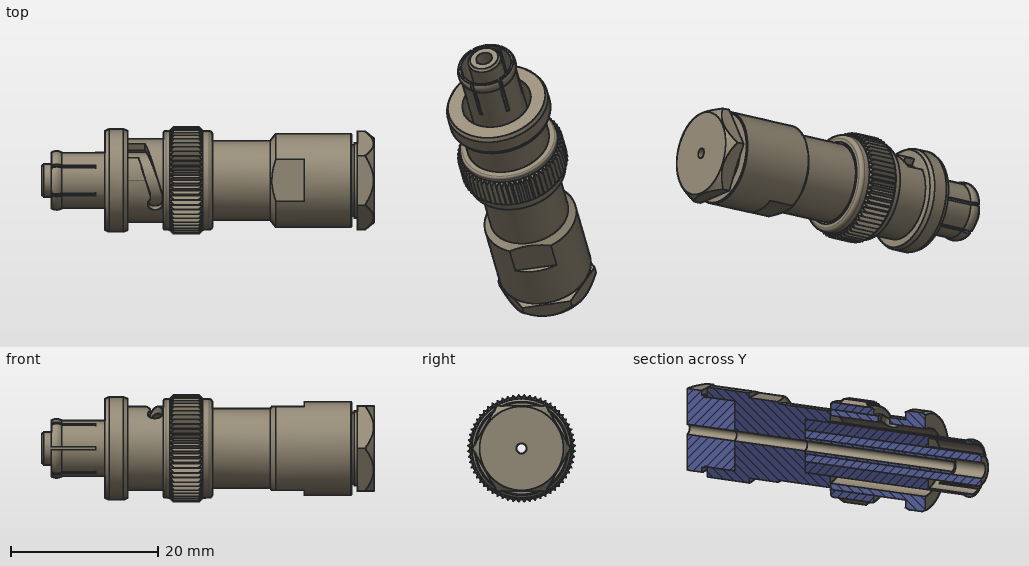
import cadquery as cq
import math


bore_radius = 0.7
contact_radius = 1.1
insulator_radius = 2.25
collet_radius = 3.8
sleeve_bore_radius = 4.75
sleeve_radius = 5.7
overall_length = 45.2
cut_clearance = 0.45

insulator_chamfer = 0.3
contact_front = 4.5
core_end = 27.13

collet_front = 1.3
bead_end = 2.75
bead_radius = 4.02
collet_bore_radius = 3.5
collet_bore_end = 8.15
collet_slot_count = 6
collet_slot_width = 0.4
collet_slot_end = 7.32

flange_front = 8.6
flange_rear = 11.7
flange_radius = 7.0
flange_front_chamfer = 0.6
flange_rear_chamfer = 0.6
flange_chamfer_depth = 0.25
sleeve_rear = 23.25

ramp_width = 1.67
ramp_middle_x = 14.95
ramp_lead = 10.5
entry_end_x = 13.2
entry_start_angle = 32.5
entry_end_angle = 60.5
ramp_end_angle = -22.0
detent_angle = -34.5
link_overlap_angle = 0.5
detent_x = 15.4
detent_radius = 1.0

grip_front = 16.55
grip_radius = 6.75
grip_front_round = 0.3
grip_rear_round = 0.55
knurl_front = 17.4
knurl_rear = 21.9
knurl_root_radius = 6.7
knurl_tip_radius = 7.3
knurl_tooth_count = 60

barrel_radius = 5.43
collar_front = 31.05
collar_radius = 6.37
collar_rear = 42.15
collar_front_chamfer = 0.75
collar_rear_chamfer = 0.15
flat_height = 5.7
flat_end = 35.65

shank_front = 37.98
shank_radius = 4.9
neck_front = 42.5
neck_radius = 5.1
hex_front = 42.9
hex_across_flats = 11.57
hex_chamfer_start = 43.95
hex_end_radius = 5.7


def revolved(outline):
    """Solid of revolution about X from (x, radius) points."""
    return cq.Workplane("XZ").polyline(outline).close().revolve(360, (0, 0, 0), (1, 0, 0))


def tube(start, end, outer, inner):
    return cq.Workplane("YZ").workplane(offset=start).circle(outer).circle(inner).extrude(end - start)


def make_insulator():
    return revolved([
        (0, contact_radius),
        (0, insulator_radius - insulator_chamfer),
        (insulator_chamfer, insulator_radius),
        (core_end, insulator_radius),
        (core_end, contact_radius),
    ])


def make_contact():
    return tube(contact_front, core_end, contact_radius, bore_radius)


def make_collet():
    """Spring collet with a rounded bead at its mouth and slots between its fingers."""
    collet = (
        cq.Workplane("XZ")
        .moveTo(collet_front, collet_bore_radius)
        .lineTo(collet_front, collet_radius)
        .threePointArc(((collet_front + bead_end) / 2, bead_radius), (bead_end, collet_radius))
        .lineTo(core_end, collet_radius)
        .lineTo(core_end, insulator_radius)
        .lineTo(collet_bore_end, insulator_radius)
        .lineTo(collet_bore_end, collet_bore_radius)
        .close()
        .revolve(360, (0, 0, 0), (1, 0, 0))
    )
    slot_length = collet_slot_end - collet_front
    slot_reach = bead_radius - insulator_radius + cut_clearance
    for index in range(collet_slot_count):
        slot = (
            cq.Workplane("XY")
            .box(slot_length, slot_reach, collet_slot_width, centered=(False, False, True))
            .translate((collet_front, insulator_radius, 0))
            .rotate((0, 0, 0), (1, 0, 0), index * 360 / collet_slot_count)
        )
        collet = collet.cut(slot)
    return collet


def arc_band(start_x, end_x, start_angle, end_angle):
    """Radial cutter through the sleeve wall between two lengths and two angles."""
    inner = sleeve_bore_radius - cut_clearance
    outer = sleeve_radius + cut_clearance
    return (
        cq.Workplane("XY")
        .moveTo(start_x, inner)
        .lineTo(end_x, inner)
        .lineTo(end_x, outer)
        .lineTo(start_x, outer)
        .close()
        .revolve(end_angle - start_angle, (0, 0, 0), (1, 0, 0))
        .rotate((0, 0, 0), (1, 0, 0), 90 - end_angle)
    )


def make_ramp_cutter():
    """Helical stretch of the bayonet slot, which moves rearward as it turns toward -Y."""
    turn = entry_end_angle - ramp_end_angle
    helix = cq.Wire.makeHelix(ramp_lead, ramp_lead * turn / 360, sleeve_bore_radius)
    start_x = ramp_middle_x - ramp_lead * entry_end_angle / 360
    return (
        cq.Workplane("XZ")
        .center((sleeve_bore_radius + sleeve_radius) / 2, 0)
        .rect(sleeve_radius - sleeve_bore_radius + 2 * cut_clearance, ramp_width)
        .sweep(cq.Workplane(obj=helix), isFrenet=True)
        .rotate((0, 0, 0), (0, 1, 0), 90)
        .rotate((0, 0, 0), (1, 0, 0), 180 - entry_end_angle)
        .translate((start_x, 0, 0))
    )


def cut_bayonet_slot(sleeve):
    """Straight entry behind the flange, helical ramp, then a round detent."""
    entry = arc_band(flange_rear, entry_end_x, entry_start_angle, entry_end_angle)
    ramp_end_x = ramp_middle_x - ramp_lead * ramp_end_angle / 360
    link = arc_band(
        ramp_end_x - ramp_width / 2,
        detent_x + detent_radius,
        detent_angle,
        ramp_end_angle + link_overlap_angle,
    )
    detent = (
        cq.Workplane("XY")
        .workplane(offset=collet_radius)
        .center(detent_x, 0)
        .circle(detent_radius)
        .extrude(sleeve_radius)
        .rotate((0, 0, 0), (1, 0, 0), -detent_angle)
    )
    for cutter in (entry, make_ramp_cutter(), link, detent):
        sleeve = sleeve.cut(cutter)
    return sleeve


def make_bayonet_sleeve():
    flange_edge_radius = flange_radius - flange_chamfer_depth
    sleeve = revolved([
        (flange_front, sleeve_bore_radius),
        (flange_front, flange_edge_radius),
        (flange_front + flange_front_chamfer, flange_radius),
        (flange_rear - flange_rear_chamfer, flange_radius),
        (flange_rear, flange_edge_radius),
        (flange_rear, sleeve_radius),
        (sleeve_rear, sleeve_radius),
        (sleeve_rear, sleeve_bore_radius),
    ])
    return cut_bayonet_slot(sleeve)


def make_knurl():
    """Ring of pointed teeth whose ends are chamfered at 45 degrees; a groove lies on each axis."""
    half_pitch = math.pi / knurl_tooth_count
    outline = []
    for index in range(2 * knurl_tooth_count):
        radius = knurl_root_radius if index % 2 == 0 else knurl_tip_radius
        angle = index * half_pitch
        outline.append((radius * math.cos(angle), radius * math.sin(angle)))
    teeth = (
        cq.Workplane("YZ")
        .workplane(offset=knurl_front)
        .polyline(outline)
        .close()
        .extrude(knurl_rear - knurl_front)
    )
    end_chamfer = knurl_tip_radius - grip_radius
    envelope = revolved([
        (knurl_front, sleeve_radius),
        (knurl_front, grip_radius),
        (knurl_front + end_chamfer, knurl_tip_radius),
        (knurl_rear - end_chamfer, knurl_tip_radius),
        (knurl_rear, grip_radius),
        (knurl_rear, sleeve_radius),
    ])
    return envelope.intersect(teeth)


def make_grip():
    front_band = tube(grip_front, knurl_front, grip_radius, sleeve_radius)
    front_rim = front_band.faces("<X").edges(cq.selectors.RadiusNthSelector(-1))
    front_band = front_rim.fillet(grip_front_round)
    rear_band = tube(knurl_rear, sleeve_rear, grip_radius, sleeve_radius)
    rear_rim = rear_band.faces(">X").edges(cq.selectors.RadiusNthSelector(-1))
    rear_band = rear_rim.fillet(grip_rear_round)
    return make_knurl().union(front_band).union(rear_band)


def make_housing():
    """Barrel and collar, with two wrench flats across Z and sockets for the collet and nut."""
    housing = revolved([
        (sleeve_rear, collet_radius),
        (sleeve_rear, barrel_radius),
        (collar_front, barrel_radius),
        (collar_front + collar_front_chamfer, collar_radius),
        (collar_rear - collar_rear_chamfer, collar_radius),
        (collar_rear, collar_radius - collar_rear_chamfer),
        (collar_rear, shank_radius),
        (shank_front, shank_radius),
        (shank_front, bore_radius),
        (core_end, bore_radius),
        (core_end, collet_radius),
    ])
    for side in (1, -1):
        flat = (
            cq.Workplane("XY")
            .box(flat_end - collar_front, 2 * collar_radius, collar_radius, centered=(False, True, True))
            .translate((collar_front, 0, side * (flat_height + collar_radius / 2)))
        )
        housing = housing.cut(flat)
    return housing


def make_clamp_nut():
    """Hex nut with two flats across Z, a coned rear end and a stepped shank."""
    hex_corner_radius = hex_across_flats / math.sqrt(3)
    hex_head = (
        cq.Workplane("YZ")
        .workplane(offset=hex_front)
        .polygon(6, 2 * hex_corner_radius)
        .extrude(overall_length - hex_front)
    )
    cone = revolved([
        (hex_front, 0),
        (hex_front, hex_corner_radius),
        (hex_chamfer_start, hex_corner_radius),
        (overall_length, hex_end_radius),
        (overall_length, 0),
    ])
    shank = revolved([
        (shank_front, 0),
        (shank_front, shank_radius),
        (neck_front, shank_radius),
        (neck_front, neck_radius),
        (hex_front, neck_radius),
        (hex_front, 0),
    ])
    through_bore = cq.Workplane("YZ").circle(bore_radius).extrude(overall_length)
    return hex_head.intersect(cone).union(shank).cut(through_bore)


insulator = make_insulator()
contact = make_contact()
collet = make_collet()
bayonet_sleeve = make_bayonet_sleeve()
grip = make_grip()
housing = make_housing()
clamp_nut = make_clamp_nut()

result = cq.Compound.makeCompound([
    insulator.solids().val(),
    contact.solids().val(),
    collet.solids().val(),
    bayonet_sleeve.solids().val(),
    grip.solids().val(),
    housing.solids().val(),
    clamp_nut.solids().val(),
])